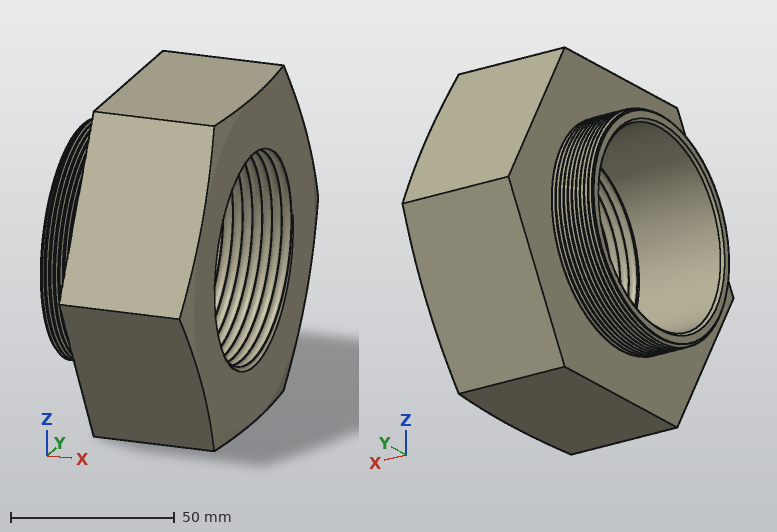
import cadquery as cq
import math

total_length = 56.0
stub_length = 15.0
across_flats = 105.0
corner_chamfer_angle = 12.0
bore_diameter = 66.17
bore_mouth_chamfer = 0.9

outer_thread_diameter = 75.0
outer_thread_pitch = 1.5
outer_thread_depth = 0.92
outer_thread_crest_width = 0.14
outer_thread_angle = 0.0
stub_end_chamfer = 1.0

inner_thread_pitch = 25.4 / 8
inner_thread_minor_diameter = 66.7
inner_thread_depth = 1.3
inner_thread_crest_width = 0.2
inner_thread_length = 25.0
inner_thread_angle = 226.0

ridge_root_overlap = 0.1
run_out_turns = 1.35
thread_flank_angle = 30.0

across_corners = across_flats / math.cos(math.radians(30))
hexagon_length = total_length - stub_length


def turned(profile):
    """Solid of revolution about X from (x, radius) points."""
    return cq.Workplane("XY").polyline(profile).close().revolve(360, (0, 0, 0), (1, 0, 0))


def cylinder(start, length, radius):
    """Solid cylinder along X."""
    return cq.Workplane("YZ", origin=(start, 0, 0)).circle(radius).extrude(length)


def sharp_ridge_profile():
    """Section of the outer thread ridge, as (radius, axial offset) with straight flanks."""
    crest_radius = outer_thread_diameter / 2
    base_radius = crest_radius - outer_thread_depth - ridge_root_overlap
    half_crest = outer_thread_crest_width / 2
    half_base = half_crest + (crest_radius - base_radius) * math.tan(math.radians(thread_flank_angle))
    return (
        cq.Workplane("XZ")
        .moveTo(base_radius, -half_base)
        .lineTo(crest_radius, -half_crest)
        .lineTo(crest_radius, half_crest)
        .lineTo(base_radius, half_base)
        .close()
    )


def rounded_ridge_profile():
    """Section of the space between two inner thread crests, with a round root."""
    minor_radius = inner_thread_minor_diameter / 2
    base_radius = minor_radius - ridge_root_overlap
    half_width = (inner_thread_pitch - inner_thread_crest_width) / 2
    return (
        cq.Workplane("XZ")
        .moveTo(base_radius, -half_width)
        .lineTo(minor_radius, -half_width)
        .threePointArc((minor_radius + inner_thread_depth, 0), (minor_radius, half_width))
        .lineTo(base_radius, half_width)
        .close()
    )


def threaded_rod(start, length, pitch, core_radius, ridge_profile, start_angle):
    """Cylinder along X with a right-hand helical ridge over its full length."""
    run_out = run_out_turns * pitch
    path = cq.Wire.makeHelix(pitch, length + 2 * run_out, core_radius)
    ridge = (
        ridge_profile
        .sweep(cq.Workplane(obj=path), isFrenet=True)
        .rotate((0, 0, 0), (0, 1, 0), 90)
        .rotate((0, 0, 0), (1, 0, 0), start_angle)
        .translate((start - run_out, 0, 0))
    )
    trimmed_ridge = ridge.intersect(cylinder(start, length, 2 * core_radius))
    return cylinder(start, length, core_radius).union(trimmed_ridge)


def hexagon():
    """Hexagonal head with its corners turned off conically at the far end."""
    corner_radius = across_corners / 2
    flat_radius = across_flats / 2
    chamfer_depth = (corner_radius - flat_radius) * math.tan(math.radians(corner_chamfer_angle))
    prism = (
        cq.Workplane("YZ", origin=(stub_length, 0, 0))
        .polygon(6, across_corners)
        .extrude(hexagon_length)
    )
    envelope = turned([
        (stub_length, 0),
        (stub_length, corner_radius),
        (total_length - chamfer_depth, corner_radius),
        (total_length, flat_radius),
        (total_length, 0),
    ])
    return prism.intersect(envelope)


def threaded_stub():
    """Stub with the outer thread, chamfered at its free end."""
    crest_radius = outer_thread_diameter / 2
    rod = threaded_rod(
        0,
        stub_length,
        outer_thread_pitch,
        crest_radius - outer_thread_depth,
        sharp_ridge_profile(),
        outer_thread_angle,
    )
    envelope = turned([
        (0, 0),
        (0, crest_radius - stub_end_chamfer),
        (stub_end_chamfer, crest_radius),
        (stub_length, crest_radius),
        (stub_length, 0),
    ])
    return rod.intersect(envelope)


def bore():
    """Through bore with a chamfered mouth at the stub end."""
    radius = bore_diameter / 2
    return turned([
        (0, 0),
        (0, radius + bore_mouth_chamfer),
        (bore_mouth_chamfer, radius),
        (total_length, radius),
        (total_length, 0),
    ])


def inner_thread():
    """Threaded plug that leaves the inner thread when cut from the hexagon end."""
    return threaded_rod(
        total_length - inner_thread_length,
        inner_thread_length,
        inner_thread_pitch,
        inner_thread_minor_diameter / 2,
        rounded_ridge_profile(),
        inner_thread_angle,
    )


result = hexagon().union(threaded_stub()).cut(bore()).cut(inner_thread())